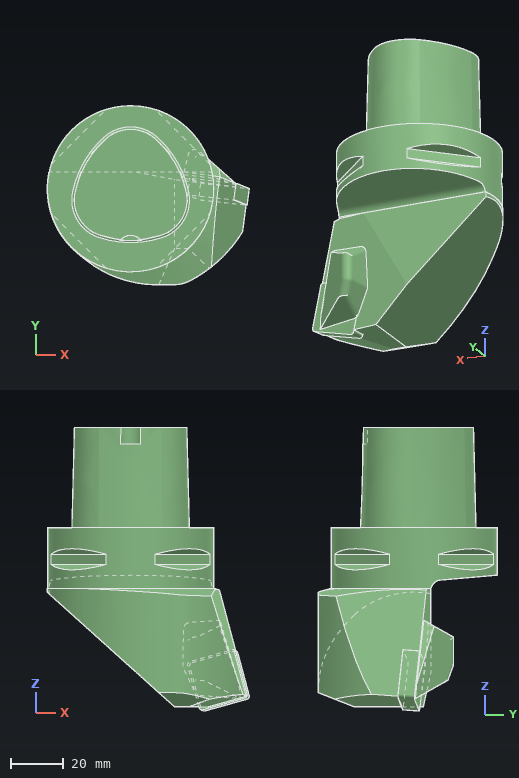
import cadquery as cq
import math



def sin_deg(angle):
    return math.sin(math.radians(angle))


def cos_deg(angle):
    return math.cos(math.radians(angle))


def tan_deg(angle):
    return math.tan(math.radians(angle))


shank_length = 38.0
lobe_reach = 23.45
side_reach = 20.4
lobe_center = 8.5
shank_taper = math.degrees(math.atan(1 / 40))
key_radius = 5.0
key_inner_y = -17.65
key_depth = 6.35

flange_radius = 31.5
flange_height = 23.0
groove_floor_distance = 27.85
groove_floor_height = 3.8
groove_flank_angle = 30.0
groove_z = -12.0

wall_y = 6.3
relief_edge_z = -18.05
relief_slope = 5.0
relief_fillet = 4.0

head_left_radius = 31.65
head_bottom_z = -67.95
head_flat_y = -36.41
head_flat_start_x = 10.0
head_flat_end_x = 16.2
head_lead_angle = 40.0
head_corner_radius = 14.0
head_corner_angle = 28.0
head_nose_point = (43.5, -14.5)
head_top_cone_angle = 15.0
back_slope_angle = 42.0
back_slope_start_z = -24.45
heel_start_y = -22.7
heel_angle = 21.5

insert_side = 19.05
insert_thickness = 6.35
insert_corner_radius = 1.2
insert_rake = 6.0
insert_lead = 15.0
insert_reach_x = 45.0
insert_tip_z = -64.73
insert_overhang = 0.55

clamp_left_x = 18.8
clamp_height = 18.0
clamp_margin = 4.5
clamp_upper_z = -36.6
clamp_lower_z = -61.5
clamp_upper_corner_x = 35.2
clamp_slant_z = -53.0
clamp_slant_angle = 63.0
clamp_edge_radius = 2.6
clamp_draft = 13.0
clamp_slope_x = 35.0
clamp_slope_angle = 41.5
clamp_flank_angle = 60.7

trim_size = 200.0

second_edge_angle = insert_lead + math.degrees(math.asin(tan_deg(insert_rake) ** 2))
second_edge = cq.Vector(
    -cos_deg(insert_rake) * cos_deg(second_edge_angle),
    sin_deg(insert_rake),
    -cos_deg(insert_rake) * sin_deg(second_edge_angle),
)
main_edge = cq.Vector(
    -cos_deg(insert_rake) * sin_deg(insert_lead),
    sin_deg(insert_rake),
    cos_deg(insert_rake) * cos_deg(insert_lead),
)
corner_loss = insert_corner_radius * (
    abs(second_edge.x) + abs(main_edge.x) - math.hypot(second_edge.x, main_edge.x)
)
insert_tip = (insert_reach_x + corner_loss, 0, insert_tip_z)
insert_plane = cq.Plane(origin=insert_tip, xDir=second_edge, normal=second_edge.cross(main_edge))


def make_insert():
    return (
        cq.Workplane(insert_plane)
        .rect(insert_side, insert_side, centered=False)
        .extrude(-insert_thickness)
        .edges(cq.selectors.ParallelDirSelector(insert_plane.zDir))
        .fillet(insert_corner_radius)
    )


def polar(radius, angle):
    return (radius * cos_deg(angle), radius * sin_deg(angle))


def make_shank():
    reach_gap = lobe_reach - side_reach
    lobe_radius = lobe_reach - lobe_center
    side_center = (2 * reach_gap * lobe_center - reach_gap**2) / (lobe_center - 2 * reach_gap)
    side_radius = side_reach + side_center
    lobe_half_angle = math.degrees(
        math.asin(side_center * sin_deg(120) / (side_radius - lobe_radius))
    )
    joint_x = lobe_center + lobe_radius * cos_deg(lobe_half_angle)
    joint_y = lobe_radius * sin_deg(lobe_half_angle)
    joint_radius = math.hypot(joint_x, joint_y)
    joint_angle = math.degrees(math.atan2(joint_y, joint_x))

    outline = cq.Workplane("XY").moveTo(*polar(joint_radius, 90 - joint_angle))
    for lobe_angle in (90, 210, 330):
        outline = outline.threePointArc(
            polar(lobe_reach, lobe_angle), polar(joint_radius, lobe_angle + joint_angle)
        ).threePointArc(
            polar(side_reach, lobe_angle + 60), polar(joint_radius, lobe_angle + 120 - joint_angle)
        )
    shank = outline.close().extrude(shank_length, taper=shank_taper)
    key_slot = (
        cq.Workplane("XY", origin=(0, key_inner_y - key_radius, shank_length))
        .circle(key_radius)
        .extrude(-key_depth)
    )
    return shank.cut(key_slot)


def make_gripper_groove(angle):
    groove_depth = flange_radius - groove_floor_distance
    half_floor = groove_floor_height / 2
    half_mouth = half_floor + groove_depth * tan_deg(groove_flank_angle)
    return (
        cq.Workplane("XZ")
        .polyline(
            [
                (groove_floor_distance, groove_z - half_floor),
                (flange_radius, groove_z - half_mouth),
                (flange_radius, groove_z + half_mouth),
                (groove_floor_distance, groove_z + half_floor),
            ]
        )
        .close()
        .extrude(flange_radius, both=True)
        .rotate((0, 0, 0), (0, 0, 1), angle)
    )


def make_flange_relief():
    wall_top_z = relief_edge_z - (flange_radius - wall_y) * tan_deg(relief_slope)
    far_y = flange_radius + wall_y
    far_z = relief_edge_z + wall_y * tan_deg(relief_slope)
    return (
        cq.Workplane("YZ")
        .polyline(
            [
                (wall_y, wall_top_z),
                (far_y, far_z),
                (far_y, -trim_size),
                (wall_y, -trim_size),
            ]
        )
        .close()
        .extrude(trim_size, both=True)
        .edges(cq.selectors.NearestToPointSelector((0, wall_y, wall_top_z)))
        .fillet(relief_fillet)
    )


def make_flange():
    flange = cq.Workplane("XY").circle(flange_radius).extrude(-flange_height)
    for angle in (45, 135, 225, 315):
        flange = flange.cut(make_gripper_groove(angle))
    return flange


def make_head_blank():
    lead_normal = 270 - head_lead_angle
    wall_end = 180 - math.degrees(math.asin(wall_y / head_left_radius))
    sweep_radius = (
        head_left_radius
        + head_flat_start_x * sin_deg(head_lead_angle)
        + head_flat_y * cos_deg(head_lead_angle)
    ) / (1 - cos_deg(head_lead_angle))
    sweep_center = (head_flat_start_x, head_flat_y + sweep_radius)

    def on_sweep(angle):
        x, y = polar(sweep_radius, angle)
        return (sweep_center[0] + x, sweep_center[1] + y)

    corner_end = (
        head_flat_end_x + head_corner_radius * sin_deg(head_corner_angle),
        head_flat_y + head_corner_radius * (1 - cos_deg(head_corner_angle)),
    )
    outer_x = 2 * flange_radius
    return (
        cq.Workplane("XY", origin=(0, 0, head_bottom_z))
        .moveTo(*polar(head_left_radius, wall_end))
        .threePointArc(
            polar(head_left_radius, (wall_end + lead_normal) / 2), polar(head_left_radius, lead_normal)
        )
        .lineTo(*on_sweep(lead_normal))
        .threePointArc(on_sweep(270 - head_lead_angle / 2), (head_flat_start_x, head_flat_y))
        .lineTo(head_flat_end_x, head_flat_y)
        .tangentArcPoint(corner_end, relative=False)
        .tangentArcPoint(head_nose_point, relative=False)
        .lineTo(outer_x, head_nose_point[1])
        .lineTo(outer_x, wall_y)
        .close()
        .extrude(-head_bottom_z)
    )


def make_head_top_cone():
    rim_radius = 3 * flange_radius
    rim_z = -flange_height - (rim_radius - flange_radius) * tan_deg(head_top_cone_angle)
    return (
        cq.Workplane("XZ")
        .polyline(
            [
                (0, head_bottom_z),
                (rim_radius, head_bottom_z),
                (rim_radius, rim_z),
                (flange_radius, -flange_height),
                (0, -flange_height),
            ]
        )
        .close()
        .revolve(360, (0, 0, 0), (0, 1, 0))
    )


def make_back_slope():
    end_x = -head_left_radius + (back_slope_start_z - head_bottom_z) / tan_deg(back_slope_angle)
    return (
        cq.Workplane("XZ")
        .polyline(
            [
                (-head_left_radius, back_slope_start_z),
                (end_x, head_bottom_z),
                (-head_left_radius, head_bottom_z),
            ]
        )
        .close()
        .extrude(trim_size, both=True)
    )


def make_heel_chamfer():
    heel_rise = (heel_start_y - head_flat_y) * tan_deg(heel_angle)
    return (
        cq.Workplane("YZ")
        .polyline(
            [
                (heel_start_y, head_bottom_z),
                (head_flat_y, head_bottom_z + heel_rise),
                (head_flat_y, head_bottom_z),
            ]
        )
        .close()
        .extrude(trim_size, both=True)
    )


def make_head():
    insert_side_trim = (
        cq.Workplane(insert_plane)
        .moveTo(insert_overhang, insert_overhang)
        .rect(trim_size, trim_size, centered=False)
        .extrude(-trim_size)
    )
    return (
        make_head_blank()
        .intersect(make_head_top_cone())
        .cut(make_back_slope())
        .cut(make_heel_chamfer())
        .intersect(insert_side_trim)
    )


def make_clamp_plan():
    top_z = clamp_upper_z + clamp_margin
    bottom_z = clamp_lower_z - clamp_margin
    right_top_x = clamp_upper_corner_x - clamp_margin * tan_deg(insert_lead)
    right_bottom_x = right_top_x + (top_z - bottom_z) * tan_deg(insert_lead)
    slant_bottom_x = clamp_left_x + (clamp_slant_z - bottom_z) / tan_deg(clamp_slant_angle)
    return (
        cq.Workplane("XZ")
        .polyline(
            [
                (clamp_left_x, top_z),
                (right_top_x, top_z),
                (right_bottom_x, bottom_z),
                (slant_bottom_x, bottom_z),
                (clamp_left_x, clamp_slant_z),
            ]
        )
        .close()
        .extrude(-clamp_height, taper=clamp_draft)
    )


def make_clamp_profile():
    ridge_y = wall_y + (clamp_slope_x - clamp_left_x) * tan_deg(clamp_slope_angle)
    slope_end_x = clamp_slope_x + wall_y / tan_deg(clamp_slope_angle)
    return (
        cq.Workplane("XY")
        .polyline([(clamp_left_x, ridge_y), (slope_end_x, 0), (clamp_left_x, 0)])
        .close()
        .extrude(-trim_size)
    )


def make_clamp_flanks():
    half_base = (clamp_upper_z - clamp_lower_z) / 2
    middle_z = (clamp_upper_z + clamp_lower_z) / 2
    peak_y = wall_y + half_base * tan_deg(clamp_flank_angle)
    half_root = half_base + wall_y / tan_deg(clamp_flank_angle)
    return (
        cq.Workplane("YZ")
        .polyline([(peak_y, middle_z), (0, middle_z - half_root), (0, middle_z + half_root)])
        .close()
        .extrude(trim_size)
    )


def make_clamp():
    above_chip_face = cq.Workplane(insert_plane).rect(trim_size, trim_size).extrude(trim_size)
    lump = make_clamp_plan().intersect(make_clamp_profile()).intersect(make_clamp_flanks())
    rounded_lump = lump.faces("<X or <(1, 0, 1)").edges("not <Y").fillet(clamp_edge_radius)
    return rounded_lump.intersect(above_chip_face)


def make_holder(insert):
    return (
        make_flange()
        .union(make_head())
        .cut(make_flange_relief())
        .union(make_shank())
        .union(make_clamp())
        .cut(insert)
    )


insert = make_insert()
holder = make_holder(insert)

result = cq.Compound.makeCompound([holder.solids().val(), insert.solids().val()])